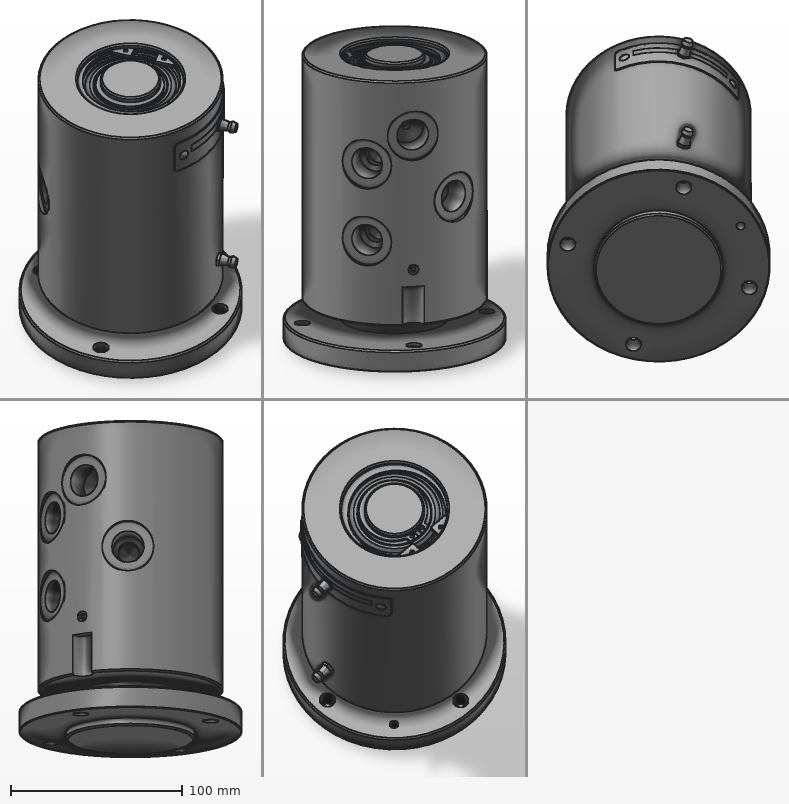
import cadquery as cq
import math

total_height = 178.9
spigot_height = 4.4
flange_top = spigot_height + 13.0
housing_height = 150.0
housing_bottom = total_height - housing_height
collar_gap = 0.5
collar_top = housing_bottom - collar_gap
edge_chamfer = 1.0
flange_lower_chamfer = 0.5

spigot_radius = 75.0 / 2
flange_radius = 130.0 / 2
collar_radius = 63.5 / 2
bolt_circle_radius = 110.0 / 2
bolt_hole_diameter = 9.0
bolt_hole_count = 4
locating_hole_diameter = 5.0
locating_hole_angle = 45.0
shaft_radius = 50.0 / 2
journal_radius = 35.0 / 2

bearing_width = 14.0
bearing_depth = 4.8
bearing_top = total_height - bearing_depth
bearing_bottom = bearing_top - bearing_width
bearing_outer_radius = 62.0 / 2
inner_race_radius = 21.3
seal_lip_radius = 21.9
seal_flat_radius = 23.9
outer_race_step_radius = 28.2
outer_race_inner_radius = 26.6
race_step = 0.3
seal_slope_drop = 1.2
race_chamfer = 0.9
ring_hole_diameter = 2.5
housing_ring_thickness = 2.0
housing_groove_radius = bearing_outer_radius + 1.5
shaft_ring_thickness = 1.5

housing_radius = 108.0 / 2

spotface_diameter = 30.0
spotface_depth = 2.5
spotface_plane = housing_radius - spotface_depth
port_diameter = 18.63
port_depth = 14.7
drill_half_angle = math.radians(59.0)
feed_diameter = 12.5
feed_floor_radius = 29.4
feed_depth = spotface_plane - feed_floor_radius
pilot_diameter = 5.0
pilot_depth = 25.0
port_pitch = 23.5
lowest_port_height = 80.3
port_angle = 30.0
pilot_port_height = 145.2

slot_radius = 13.0 / 2
slot_top = 52.9
screw_height = 63.3
screw_diameter = 6.0
screw_recess = 0.3
socket_across_flats = 3.0
socket_depth = 2.0

nipple_heights = (55.3, 158.5)
nipple_tip = flange_radius
hex_across_flats = 7.2

plate_thickness = 0.7
plate_height = 21.0
plate_center_height = nipple_heights[1]
plate_half_angle = 43.1
plate_corner_radius = 2.0
field_height = 4.8
field_half_angle = 30.5
field_depth = 0.1
rivet_angle = 37.0
rivet_radius = 3.0
rivet_rise = 1.3

overlap = 1.0
spotface_clearance = spotface_depth + overlap


def cylinder(radius, bottom, top):
    return cq.Workplane("XY").workplane(offset=bottom).circle(radius).extrude(top - bottom)


def revolved(points):
    """Solid of revolution about Z from (radius, height) points."""
    return cq.Workplane("XZ").polyline(points).close().revolve(360, (0, 0, 0), (0, 1, 0))


def radial_plane(angle, distance, height):
    """Workplane facing outward, its normal turned by angle from +X."""
    turn = math.radians(angle)
    normal = (math.cos(turn), math.sin(turn), 0)
    origin = (distance * normal[0], distance * normal[1], height)
    return cq.Workplane(cq.Plane(origin=origin, xDir=(-normal[1], normal[0], 0), normal=normal))


def drill_tip(diameter, end_diameter=0.0):
    return (diameter - end_diameter) / 2 / math.tan(drill_half_angle)


def radial_drill(angle, height, profile):
    """Stepped cutter of (radius, depth) points, depth taken inward from the spotface."""
    cutter = cq.Workplane("XY").polyline(profile).close().revolve(360, (0, 0, 0), (0, 1, 0))
    cutter = cutter.rotate((0, 0, 0), (0, 0, 1), 90)
    return cutter.translate((spotface_plane, 0, height)).rotate((0, 0, 0), (0, 0, 1), angle)



def housing_ring():
    """Internal retaining ring seated in its groove: eccentric inner edge, two lugs and a gap at +Y."""
    inner_radius = 28.55
    inner_offset = 1.95
    lug_edge = 22.6
    lug_half_span = 19.0
    gap_half_width = 7.3
    hole_x = 11.8
    hole_y = 26.6
    top = bearing_top + housing_ring_thickness
    disc = cylinder(housing_groove_radius, bearing_top, top)
    ring = disc.cut(cylinder(inner_radius, bearing_top, top).translate((0, inner_offset, 0)))
    base = cq.Workplane("XY").workplane(offset=bearing_top)
    lugs = base.center(0, bearing_outer_radius).rect(2 * lug_half_span, 2 * (bearing_outer_radius - lug_edge))
    lugs = lugs.extrude(housing_ring_thickness).intersect(disc)
    gap = base.center(0, bearing_outer_radius).rect(2 * gap_half_width, bearing_outer_radius)
    gap = gap.extrude(housing_ring_thickness)
    holes = base.pushPoints([(-hole_x, hole_y), (hole_x, hole_y)]).circle(ring_hole_diameter / 2)
    holes = holes.extrude(housing_ring_thickness)
    ring = ring.union(lugs).cut(gap)
    return ring.cut(holes)


def shaft_ring():
    """External retaining ring: eccentric outer edge, two lugs and a gap at +Y."""
    outer_radius = 20.0
    outer_offset = -1.1
    lug_outer_radius = 21.7
    lug_half_span = 7.4
    gap_half_width = 1.6
    hole_x = 4.0
    hole_y = 18.8
    top = bearing_top + shaft_ring_thickness
    base = cq.Workplane("XY").workplane(offset=bearing_top)
    lugs = base.center(0, lug_outer_radius).rect(2 * lug_half_span, lug_outer_radius)
    lugs = lugs.extrude(shaft_ring_thickness).intersect(cylinder(lug_outer_radius, bearing_top, top))
    gap = base.center(0, lug_outer_radius).rect(2 * gap_half_width, lug_outer_radius).extrude(shaft_ring_thickness)
    holes = base.pushPoints([(-hole_x, hole_y), (hole_x, hole_y)]).circle(ring_hole_diameter / 2)
    holes = holes.extrude(shaft_ring_thickness)
    ring = cylinder(outer_radius, bearing_top, top).translate((0, outer_offset, 0)).union(lugs)
    ring = ring.cut(gap)
    return ring.cut(holes)



def build_rotor():
    """Flanged shaft with the bearing's inner race and its retaining ring."""
    body = revolved([
        (0, 0),
        (spigot_radius - edge_chamfer, 0),
        (spigot_radius, edge_chamfer),
        (spigot_radius, spigot_height),
        (flange_radius - flange_lower_chamfer, spigot_height),
        (flange_radius, spigot_height + flange_lower_chamfer),
        (flange_radius, flange_top - edge_chamfer),
        (flange_radius - edge_chamfer, flange_top),
        (collar_radius, flange_top),
        (collar_radius, collar_top - edge_chamfer),
        (collar_radius - edge_chamfer, collar_top),
        (shaft_radius, collar_top),
        (shaft_radius, bearing_bottom),
        (inner_race_radius, bearing_bottom),
        (inner_race_radius, bearing_top),
        (journal_radius, bearing_top),
        (journal_radius, total_height - edge_chamfer),
        (journal_radius - edge_chamfer, total_height),
        (0, total_height),
    ])
    base = cq.Workplane("XY")
    bolt_holes = base.polarArray(bolt_circle_radius, 0, 360, bolt_hole_count).circle(bolt_hole_diameter / 2)
    bolt_holes = bolt_holes.extrude(flange_top)
    locating_hole = base.polarArray(bolt_circle_radius, locating_hole_angle, 360, 1)
    locating_hole = locating_hole.circle(locating_hole_diameter / 2).extrude(flange_top)
    body = body.cut(bolt_holes).cut(locating_hole)
    return body.union(shaft_ring())



def housing_shell():
    """Turned housing with the outer race and seal of the bearing and its ring groove."""
    return revolved([
        (shaft_radius, housing_bottom),
        (housing_radius - edge_chamfer, housing_bottom),
        (housing_radius, housing_bottom + edge_chamfer),
        (housing_radius, total_height - edge_chamfer),
        (housing_radius - edge_chamfer, total_height),
        (bearing_outer_radius + edge_chamfer, total_height),
        (bearing_outer_radius, total_height - edge_chamfer),
        (bearing_outer_radius, bearing_top + housing_ring_thickness),
        (housing_groove_radius, bearing_top + housing_ring_thickness),
        (housing_groove_radius, bearing_top),
        (bearing_outer_radius, bearing_top),
        (bearing_outer_radius, bearing_top - race_chamfer),
        (bearing_outer_radius - race_chamfer, bearing_top),
        (outer_race_step_radius, bearing_top),
        (outer_race_step_radius, bearing_top - race_step),
        (outer_race_inner_radius, bearing_top - race_step),
        (outer_race_inner_radius, bearing_top - seal_slope_drop),
        (seal_flat_radius, bearing_top),
        (seal_lip_radius, bearing_top),
        (seal_lip_radius, bearing_top - race_step),
        (inner_race_radius, bearing_top - race_step),
        (inner_race_radius, bearing_bottom),
        (shaft_radius, bearing_bottom),
    ])


def feed_port(side_angle, height):
    """Spotfaced port with a conical step down to a drilled feed hole."""
    spot, port, feed = spotface_diameter / 2, port_diameter / 2, feed_diameter / 2
    return radial_drill(180 - side_angle, height, [
        (0, -spotface_clearance),
        (spot, -spotface_clearance),
        (spot, 0),
        (port, 0),
        (port, port_depth),
        (feed, port_depth + drill_tip(port_diameter, feed_diameter)),
        (feed, feed_depth),
        (0, feed_depth + drill_tip(feed_diameter)),
    ])


def pilot_port():
    """Spotfaced port whose drill cone runs into a small pilot hole."""
    spot, port, pilot = spotface_diameter / 2, port_diameter / 2, pilot_diameter / 2
    return radial_drill(180, pilot_port_height, [
        (0, -spotface_clearance),
        (spot, -spotface_clearance),
        (spot, 0),
        (port, 0),
        (port, port_depth),
        (pilot, port_depth + drill_tip(port_diameter, pilot_diameter)),
        (pilot, pilot_depth),
        (0, pilot_depth),
    ])


def set_screw_recess():
    face = radial_plane(180, housing_radius + overlap, screw_height)
    recess = face.circle(screw_diameter / 2).extrude(-overlap - screw_recess)
    socket_corner_diameter = socket_across_flats / math.cos(math.pi / 6)
    socket = face.transformed(rotate=(0, 0, 90)).polygon(6, socket_corner_diameter)
    return recess.union(socket.extrude(-overlap - socket_depth))


def grease_nipple(height):
    """Hexagon with a tapered neck and a ridged head, pointing along +X."""
    hex_end = 55.7
    neck_end = 60.6
    ridge_position = 62.4
    neck_root_radius = 3.5
    neck_end_radius = 2.6
    ridge_radius = 3.5
    tip_radius = 2.6
    root = housing_radius - overlap
    hexagon = radial_plane(0, root, height).transformed(rotate=(0, 0, 90))
    hexagon = hexagon.polygon(6, hex_across_flats / math.cos(math.pi / 6)).extrude(hex_end - root)
    stem = cq.Workplane("XY").polyline([
        (root, 0),
        (root, neck_root_radius),
        (hex_end, neck_root_radius),
        (neck_end, neck_end_radius),
        (ridge_position, ridge_radius),
        (nipple_tip, tip_radius),
        (nipple_tip, 0),
    ]).close().revolve(360, (0, 0, 0), (1, 0, 0)).translate((0, 0, height))
    return hexagon.union(stem)


def curved_patch(inner_radius, outer_radius, half_angle, height, center_height):
    """Part of a tube around Z, centred on +X."""
    half_width = outer_radius * math.sin(math.radians(half_angle))
    bottom = center_height - height / 2
    tube = cylinder(outer_radius, bottom, bottom + height).cut(cylinder(inner_radius, bottom, bottom + height))
    window = radial_plane(0, 0, center_height).rect(2 * half_width, height).extrude(2 * outer_radius)
    return tube.intersect(window)


def name_plate():
    """Curved plate with a sunk field in its upper half and a round-head rivet at each end."""
    outer = housing_radius + plate_thickness
    plate = curved_patch(housing_radius - overlap, outer, plate_half_angle, plate_height, plate_center_height)
    plate = plate.edges("|X").fillet(plate_corner_radius)
    field_center = plate_center_height + field_height / 2
    field_floor = outer - field_depth
    field = curved_patch(field_floor, outer + overlap, field_half_angle, field_height, field_center)
    plate = plate.cut(field)
    sphere_radius = (rivet_radius ** 2 + rivet_rise ** 2) / (2 * rivet_rise)
    for angle in (-rivet_angle, rivet_angle):
        dome = radial_plane(angle, outer + rivet_rise - sphere_radius, plate_center_height).sphere(sphere_radius)
        head = radial_plane(angle, outer - overlap, plate_center_height).circle(rivet_radius)
        plate = plate.union(head.extrude(overlap + rivet_rise).intersect(dome))
    return plate


def build_housing():
    body = housing_shell()
    body = body.cut(pilot_port())
    for step, side in enumerate((1, -1, 1)):
        body = body.cut(feed_port(side * port_angle, lowest_port_height + step * port_pitch))
    body = body.cut(cylinder(slot_radius, housing_bottom, slot_top).translate((-housing_radius, 0, 0)))
    body = body.cut(set_screw_recess())
    body = body.union(housing_ring())
    body = body.union(name_plate())
    for height in nipple_heights:
        body = body.union(grease_nipple(height))
    return body


housing = build_housing()
rotor = build_rotor()
result = cq.Compound.makeCompound([housing.val(), rotor.val()])